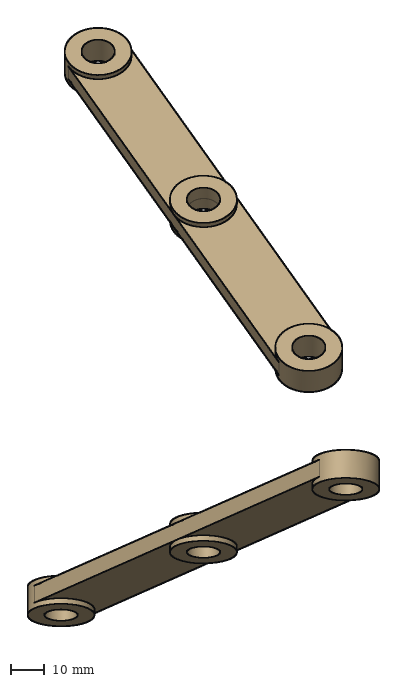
import cadquery as cq

length = 160.0
width = 20.0
boss_height = 9.0
bar_thickness = 5.5
hole_diameter = 10.0

pivot_spacing = (length - width) / 2
pivots = [(-pivot_spacing, 0), (0, 0), (pivot_spacing, 0)]


def pivot_cylinders(diameter):
    """Full-height cylinders on the three pivot axes, centred on the mid-plane."""
    return (
        cq.Workplane("XY")
        .pushPoints(pivots)
        .circle(diameter / 2)
        .extrude(boss_height / 2, both=True)
    )


bar = cq.Workplane("XY").box(2 * pivot_spacing, width, bar_thickness)

result = bar.union(pivot_cylinders(width)).cut(pivot_cylinders(hole_diameter))